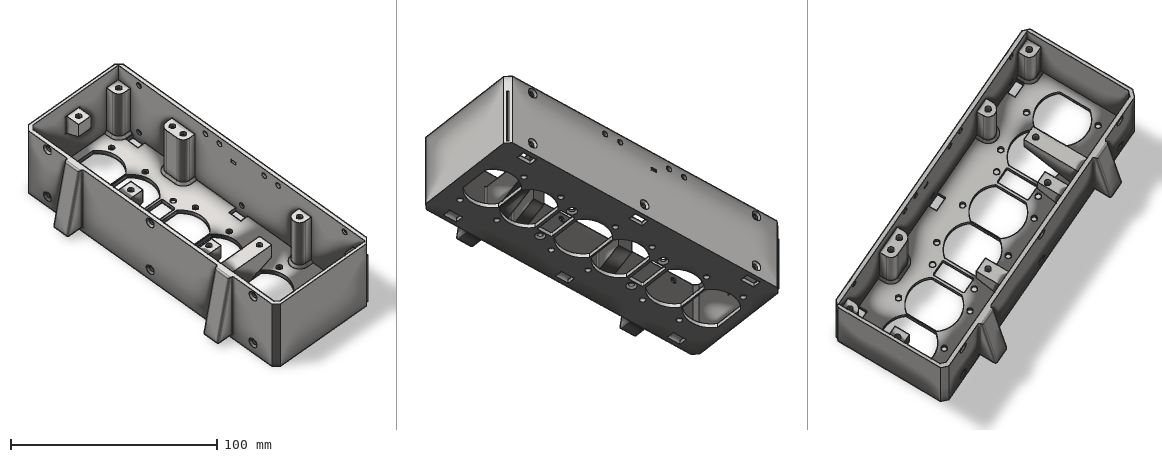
import cadquery as cq
import math

LENGTH = 173.3
BODY_DEPTH = 64.8
HEIGHT = 42.6
SIDE_WALL = 1.7
LONG_WALL = 2.3
FLOOR = 2.5
OUTER_CHAMFER = 3.0
INNER_CHAMFER = 2.0

TOLERANCE = 0.2

INNER_X = LENGTH / 2 - SIDE_WALL
INNER_Y = BODY_DEPTH / 2 - LONG_WALL
FRONT_Y = -BODY_DEPTH / 2
BACK_Y = BODY_DEPTH / 2

PAIR_PITCH = 57.7
PAIR_HALF_GAP = 11.6
DIAL_RADIUS = 14.2
DIAL_WIDTH = 22.5
PIN_DIAMETER = 3.1
DIAL_PIN_X = 6.4
DIAL_PIN_Y = 16.5

SWITCH_WIDTH = 9.0
SWITCH_DEPTH = 17.8
SWITCH_CORNER = 0.7
SWITCH_PIN_Y = 12.0

WINDOW_WIDTH = 8.1
WINDOW_DEPTH = 4.7
WINDOW_PITCH = 70.7

SUPPORT_TOP = 32.8
TAP_DIAMETER = 3.1
TAP_DEPTH = 7.0
POST_RADIUS = 4.2
POST_FLARE = 1.4
POST_Y = 26.3
CORNER_POST_X = 80.8
TWIN_POST_X = (-43.8, -36.4)
SINGLE_POST_X = 43.7
ARM_TIP_THICKNESS = 8.3
ARM_SLOPE = 22.5
ARM_ROOT_FILLET = 0.9
ARM_TAP_INSET = 4.2
LONG_ARM_TIP_Y = 3.1
SHORT_ARM_X = (-27.0, 26.7)
SHORT_ARM_TIP_Y = -14.5
ARM_HALF_WIDTH = 4.2
SLIM_ARM_HALF_WIDTH = 2.5
SIDE_ARM_Y = -1.0
SIDE_ARM_REACH = 8.3

SCREW_DIAMETER = 3.1
SCREW_HEAD_DIAMETER = 5.4
SCREW_X = 70.7
SCREW_LOW_Z = 6.8
SCREW_HIGH_Z = 38.8
CABLE_HOLE_X = (15.5, 25.0)
CABLE_HOLE_Z = 38.1
SLIT_X = -5.9
SLIT_Z = 32.2
SLIT_WIDTH = 3.1
SLIT_HEIGHT = 1.5

RIB_X = 51.6
RIB_WIDTH = 10.2
RIB_BOTTOM = 2.6
RIB_TOP_REACH = 2.0
RIB_REACH = 10.2
RIB_EDGE_FILLET = 1.0
RIB_ROOT_FILLET = 0.9


def block(x_min, x_max, y_min, y_max, z_min, z_max):
    size = (x_max - x_min, y_max - y_min, z_max - z_min)
    return cq.Workplane("XY").box(*size, centered=False).translate((x_min, y_min, z_min))


def upright_cylinder(x, y, diameter, z_min, z_max):
    return cq.Workplane("XY", origin=(x, y, z_min)).circle(diameter / 2).extrude(z_max - z_min)


def countersink(plane, hole_diameter, head_diameter):
    """90 degree countersink whose wide end lies on the plane."""
    depth = (head_diameter - hole_diameter) / 2
    return cq.Workplane(plane).circle(head_diameter / 2).extrude(depth, taper=45)


def wall_hole(x, z, outer_y, inward, sunk):
    """Hole through a long wall, countersunk from outside if asked."""
    plane = cq.Plane(origin=(x, outer_y, z), xDir=(1, 0, 0), normal=(0, inward, 0))
    hole = cq.Workplane(plane).circle(SCREW_DIAMETER / 2).extrude(LONG_WALL)
    if sunk:
        hole = hole.union(countersink(plane, SCREW_DIAMETER, SCREW_HEAD_DIAMETER))
    return hole


def rib(x):
    """Wedge that leans out from the front wall towards its lower end, rooted inside the wall."""
    root_y = FRONT_Y + LONG_WALL / 2
    wedge = (
        cq.Workplane("YZ", origin=(x - RIB_WIDTH / 2, 0, 0))
        .moveTo(root_y, HEIGHT)
        .lineTo(FRONT_Y - RIB_TOP_REACH, HEIGHT)
        .lineTo(FRONT_Y - RIB_REACH, RIB_BOTTOM)
        .lineTo(root_y, RIB_BOTTOM)
        .close()
        .extrude(RIB_WIDTH)
    )
    sloped_and_lower = wedge.faces("<Y").edges().add(wedge.faces("<Z").edges("|Y"))
    return wedge.newObject(sloped_and_lower.vals()).fillet(RIB_EDGE_FILLET)


def box_selector(x_min, x_max, y_min, y_max, z_min, z_max):
    return cq.selectors.BoxSelector((x_min, y_min, z_min), (x_max, y_max, z_max))


def add_rib(body, x):
    """Join a rib to the front wall and fillet the inside corners around its root."""
    reach_x = RIB_WIDTH / 2 + RIB_ROOT_FILLET
    root = box_selector(
        x - reach_x, x + reach_x, FRONT_Y - TOLERANCE, FRONT_Y + TOLERANCE, TOLERANCE, HEIGHT - TOLERANCE
    )
    return body.union(rib(x)).edges(root).fillet(RIB_ROOT_FILLET)


def add_post(body, tap_xs, wall_x=None):
    """Join a tapped post to the back wall, and to the end wall at wall_x for a corner post."""
    back = INNER_Y + LONG_WALL / 2
    front = POST_Y - POST_RADIUS
    edge_xs = [x + side * POST_RADIUS for x in tap_xs for side in (-1, 1)]
    core_xs = list(tap_xs)
    if wall_x is not None:
        edge_xs.append(wall_x)
        core_xs.append(wall_x)
    column = block(min(edge_xs), max(edge_xs), POST_Y, back, FLOOR / 2, SUPPORT_TOP)
    if len(core_xs) > 1:
        column = column.union(block(min(core_xs), max(core_xs), front, back, FLOOR / 2, SUPPORT_TOP))
    for x in tap_xs:
        column = column.union(upright_cylinder(x, POST_Y, 2 * POST_RADIUS, FLOOR / 2, SUPPORT_TOP))
    body = body.union(column.clean())

    foot = box_selector(
        min(edge_xs) - TOLERANCE,
        max(edge_xs) + TOLERANCE,
        front - TOLERANCE,
        INNER_Y - TOLERANCE,
        FLOOR - TOLERANCE,
        FLOOR + TOLERANCE,
    )
    body = body.edges(foot).chamfer(POST_FLARE)
    for x in tap_xs:
        body = body.cut(upright_cylinder(x, POST_Y, TAP_DIAMETER, SUPPORT_TOP - TAP_DEPTH, SUPPORT_TOP))
    return body


def arm(reach, left=ARM_HALF_WIDTH, right=ARM_HALF_WIDTH):
    """Tapped arm growing along +Y from a wall face at Y = 0, with a sloping underside."""
    fillet = ARM_ROOT_FILLET
    root_y = -SIDE_WALL / 2
    drop = ARM_TIP_THICKNESS + (reach - root_y) * math.tan(math.radians(ARM_SLOPE))
    plan = (
        cq.Workplane("XY", origin=(0, 0, SUPPORT_TOP - drop))
        .moveTo(-left, reach)
        .lineTo(-left, fillet)
        .radiusArc((-left - fillet, 0), fillet)
        .lineTo(-left - fillet, root_y)
        .lineTo(right + fillet, root_y)
        .lineTo(right + fillet, 0)
        .radiusArc((right, fillet), fillet)
        .lineTo(right, reach)
        .close()
        .extrude(drop)
    )
    side = (
        cq.Workplane("YZ")
        .moveTo(root_y, SUPPORT_TOP)
        .lineTo(reach, SUPPORT_TOP)
        .lineTo(reach, SUPPORT_TOP - ARM_TIP_THICKNESS)
        .lineTo(root_y, SUPPORT_TOP - drop)
        .close()
        .extrude(left + right, both=True)
    )
    tap = upright_cylinder(0, reach - ARM_TAP_INSET, TAP_DIAMETER, SUPPORT_TOP - TAP_DEPTH, SUPPORT_TOP)
    return plan.intersect(side).cut(tap)


def floor_openings():
    """All openings through the floor, as one tool."""
    cutter = cq.Workplane("XY")
    for pair_x in (-PAIR_PITCH, 0, PAIR_PITCH):
        for x in (pair_x - PAIR_HALF_GAP, pair_x + PAIR_HALF_GAP):
            flats = block(x - DIAL_WIDTH / 2, x + DIAL_WIDTH / 2, -DIAL_RADIUS, DIAL_RADIUS, 0, FLOOR)
            cutter = cutter.add(upright_cylinder(x, 0, 2 * DIAL_RADIUS, 0, FLOOR).intersect(flats))
            for side in (-1, 1):
                cutter = cutter.add(
                    upright_cylinder(x + side * DIAL_PIN_X, -side * DIAL_PIN_Y, PIN_DIAMETER, 0, FLOOR)
                )
    for x in (-PAIR_PITCH / 2, PAIR_PITCH / 2):
        half_width = SWITCH_WIDTH / 2
        half_depth = SWITCH_DEPTH / 2
        switch = block(x - half_width, x + half_width, -half_depth, half_depth, 0, FLOOR)
        cutter = cutter.add(switch.edges("|Z").fillet(SWITCH_CORNER))
        for y in (-SWITCH_PIN_Y, SWITCH_PIN_Y):
            cutter = cutter.add(upright_cylinder(x, y, PIN_DIAMETER, 0, FLOOR))
            underside = cq.Plane(origin=(x, y, 0))
            cutter = cutter.add(countersink(underside, PIN_DIAMETER, SCREW_HEAD_DIAMETER))
    for x in (-WINDOW_PITCH, 0, WINDOW_PITCH):
        for y_min in (-INNER_Y, INNER_Y - WINDOW_DEPTH):
            half_width = WINDOW_WIDTH / 2
            cutter = cutter.add(block(x - half_width, x + half_width, y_min, y_min + WINDOW_DEPTH, 0, FLOOR))
    return cutter.combine()


def wall_openings():
    """All holes through the two long walls, as one tool."""
    cutter = cq.Workplane("XY")
    for x in (-SCREW_X, 0, SCREW_X):
        for z in (SCREW_LOW_Z, SCREW_HIGH_Z):
            cutter = cutter.add(wall_hole(x, z, FRONT_Y, 1, sunk=True))
            if not (x == 0 and z == SCREW_HIGH_Z):
                cutter = cutter.add(wall_hole(x, z, BACK_Y, -1, sunk=True))
    for x in CABLE_HOLE_X:
        for side in (-1, 1):
            cutter = cutter.add(wall_hole(side * x, CABLE_HOLE_Z, BACK_Y, -1, sunk=False))
    half_width = SLIT_WIDTH / 2
    half_height = SLIT_HEIGHT / 2
    slit = block(
        SLIT_X - half_width, SLIT_X + half_width, INNER_Y, BACK_Y, SLIT_Z - half_height, SLIT_Z + half_height
    )
    return cutter.add(slit).combine()


body = block(-LENGTH / 2, LENGTH / 2, FRONT_Y, BACK_Y, 0, HEIGHT).edges("|Z").chamfer(OUTER_CHAMFER)
cavity = block(-INNER_X, INNER_X, -INNER_Y, INNER_Y, FLOOR, HEIGHT)
cavity = cavity.edges("|Z and <Y").chamfer(INNER_CHAMFER)
body = body.cut(cavity)
for x in (-RIB_X, RIB_X):
    body = add_rib(body, x)

body = add_post(body, [-CORNER_POST_X], wall_x=-INNER_X - SIDE_WALL / 2)
body = add_post(body, [CORNER_POST_X], wall_x=INNER_X + SIDE_WALL / 2)
body = add_post(body, TWIN_POST_X)
body = add_post(body, [SINGLE_POST_X])

left_short_x, right_short_x = SHORT_ARM_X
short_reach = SHORT_ARM_TIP_Y + INNER_Y
body = body.union(arm(LONG_ARM_TIP_Y + INNER_Y).translate((SINGLE_POST_X, -INNER_Y, 0)))
body = body.union(arm(short_reach).translate((left_short_x, -INNER_Y, 0)))
body = body.union(arm(short_reach, left=SLIM_ARM_HALF_WIDTH).translate((right_short_x, -INNER_Y, 0)))
side_arm = arm(SIDE_ARM_REACH).rotate((0, 0, 0), (0, 0, 1), -90)
body = body.union(side_arm.translate((-INNER_X, SIDE_ARM_Y, 0)))

result = body.cut(floor_openings()).cut(wall_openings())